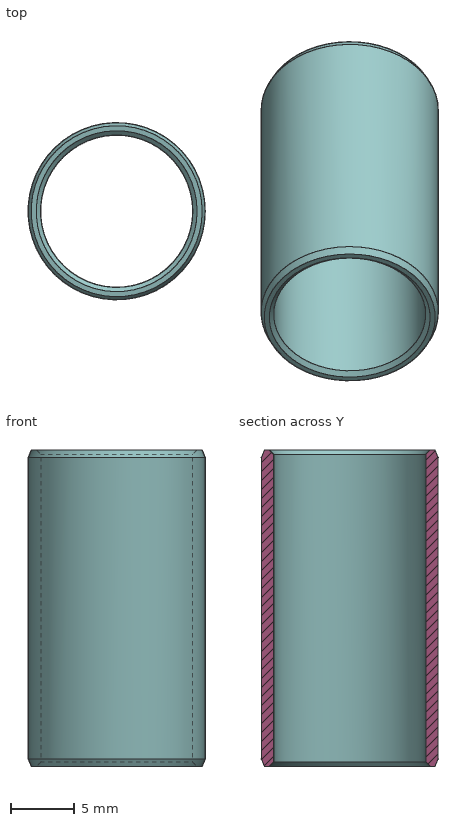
import cadquery as cq

length = 25.0
outer_radius = 7.0
bore_radius = 6.0
outer_chamfer_depth = 0.25
outer_chamfer_length = 0.6
bore_chamfer = 0.35

half_section = [
    (bore_radius, bore_chamfer),
    (bore_radius + bore_chamfer, 0),
    (outer_radius - outer_chamfer_depth, 0),
    (outer_radius, outer_chamfer_length),
    (outer_radius, length - outer_chamfer_length),
    (outer_radius - outer_chamfer_depth, length),
    (bore_radius + bore_chamfer, length),
    (bore_radius, length - bore_chamfer),
]

result = (
    cq.Workplane("XZ")
    .polyline(half_section)
    .close()
    .revolve(360, (0, 0, 0), (0, 1, 0))
)